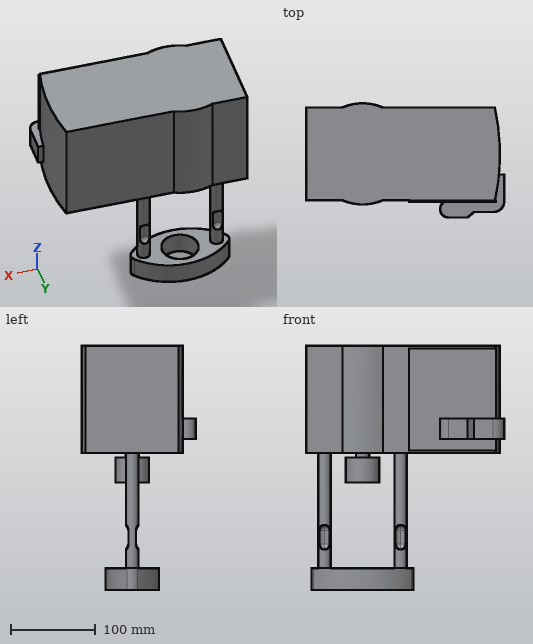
import cadquery as cq
import math


housing_height = 127.0
housing_width = 110.0
housing_left = -66.8
housing_corner_x = 156.5
housing_crown_x = 162.55
bulge_radius = 60.0

door_left = 55.0
door_right = 157.7
door_thickness = 2.0
door_margin = 3.0

handle_left = 91.6
handle_right = 167.75
handle_front_y = -75.3
handle_grip_radius = 10.0
handle_shelf_y = -69.0
handle_end_y = -24.3
handle_bevel_start_x = 124.3
handle_bevel_end_x = 131.6
handle_corner_radius = 13.2
handle_bottom = 16.5
handle_height = 24.5

shaft_diameter = 16.0
shaft_length = 5.0
coupling_diameter = 40.0
coupling_height = 30.0

rod_spacing = 90.0
rod_diameter = 15.0
rod_length = 136.0

groove_radius = 6.5
groove_straight_length = 16.0
groove_center_z = -99.5

flange_thickness = 26.0
flange_length = 121.0
flange_width = 63.5
flange_end_radius = 9.5
flange_bore_diameter = 44.0

half_width = housing_width / 2
door_face_y = -half_width - door_thickness


def make_housing():
    """Box with a bowed +X end and a round bulge on both sides of the shaft."""
    body = (
        cq.Workplane("XY")
        .moveTo(housing_left, -half_width)
        .lineTo(housing_corner_x, -half_width)
        .threePointArc((housing_crown_x, 0), (housing_corner_x, half_width))
        .lineTo(housing_left, half_width)
        .close()
        .extrude(housing_height)
    )
    bulge = cq.Workplane("XY").circle(bulge_radius).extrude(housing_height)
    return body.union(bulge)


def make_door():
    """Thin panel lying on the -Y face of the housing."""
    length = door_right - door_left
    height = housing_height - 2 * door_margin
    panel = cq.Workplane("XY").box(length, door_thickness, height, centered=False)
    return panel.translate((door_left, door_face_y, door_margin))


def crown_x(y):
    """X of the bowed housing end at a given Y."""
    bow = housing_crown_x - housing_corner_x
    radius = (half_width**2 + bow**2) / (2 * bow)
    return housing_crown_x - radius + math.sqrt(radius**2 - y**2)


def make_handle():
    """L-shaped handle with a rounded grip, set into the door and running onto the bowed end."""
    grip_middle_y = handle_front_y + handle_grip_radius
    grip_back_y = grip_middle_y + handle_grip_radius
    grip_center_x = handle_left + handle_grip_radius
    corner_center_x = handle_right - handle_corner_radius
    corner_center_y = handle_shelf_y + handle_corner_radius
    diagonal = handle_corner_radius * math.sqrt(0.5)
    return (
        cq.Workplane("XY")
        .workplane(offset=handle_bottom)
        .moveTo(grip_center_x, grip_back_y)
        .threePointArc((handle_left, grip_middle_y), (grip_center_x, handle_front_y))
        .lineTo(handle_bevel_start_x, handle_front_y)
        .lineTo(handle_bevel_end_x, handle_shelf_y)
        .lineTo(corner_center_x, handle_shelf_y)
        .threePointArc(
            (corner_center_x + diagonal, corner_center_y - diagonal),
            (handle_right, corner_center_y),
        )
        .lineTo(handle_right, handle_end_y)
        .lineTo(crown_x(handle_end_y), handle_end_y)
        .lineTo(housing_corner_x, grip_back_y)
        .close()
        .extrude(handle_height)
    )


def make_shaft():
    """Short drive shaft with the larger coupling below it."""
    shaft = cq.Workplane("XY").circle(shaft_diameter / 2).extrude(-shaft_length)
    coupling = (
        cq.Workplane("XY")
        .workplane(offset=-shaft_length)
        .circle(coupling_diameter / 2)
        .extrude(-coupling_height)
    )
    return shaft.union(coupling)


def make_groove(y):
    """Capsule-shaped cutter standing upright at the given Y."""
    half_straight = groove_straight_length / 2
    tip = half_straight + groove_radius
    diagonal = groove_radius * math.sqrt(0.5)
    return (
        cq.Workplane("YZ")
        .moveTo(0, -tip)
        .threePointArc((diagonal, -half_straight - diagonal), (groove_radius, -half_straight))
        .lineTo(groove_radius, half_straight)
        .threePointArc((diagonal, half_straight + diagonal), (0, tip))
        .close()
        .revolve(360, (0, 0, 0), (0, 1, 0))
        .translate((0, y, groove_center_z))
    )


def make_rod(x):
    """Support rod with a groove on its -Y and +Y sides."""
    rod_radius = rod_diameter / 2
    rod = cq.Workplane("XY").circle(rod_radius).extrude(-rod_length)
    for y in (-rod_radius, rod_radius):
        rod = rod.cut(make_groove(y), clean=False)
    return rod.translate((x, 0, 0))


def make_flange():
    """Lens-shaped flange: two wide side arcs blended by a small arc at each end."""
    half_flange_width = flange_width / 2
    end_center_x = flange_length / 2 - flange_end_radius
    side_radius = (end_center_x**2 + half_flange_width**2 - flange_end_radius**2) / (
        2 * (half_flange_width - flange_end_radius)
    )
    side_offset = side_radius - half_flange_width
    center_distance = side_radius - flange_end_radius
    tangent_x = side_radius * end_center_x / center_distance
    tangent_y = flange_end_radius * side_offset / center_distance
    return (
        cq.Workplane("XY")
        .workplane(offset=-rod_length)
        .moveTo(-tangent_x, tangent_y)
        .threePointArc((0, half_flange_width), (tangent_x, tangent_y))
        .threePointArc((flange_length / 2, 0), (tangent_x, -tangent_y))
        .threePointArc((0, -half_flange_width), (-tangent_x, -tangent_y))
        .threePointArc((-flange_length / 2, 0), (-tangent_x, tangent_y))
        .close()
        .circle(flange_bore_diameter / 2)
        .extrude(-flange_thickness)
    )


result = make_housing().union(make_door()).union(make_handle()).union(make_shaft())
for rod_x in (-rod_spacing / 2, rod_spacing / 2):
    result = result.union(make_rod(rod_x), clean=False)
result = result.union(make_flange(), clean=False)